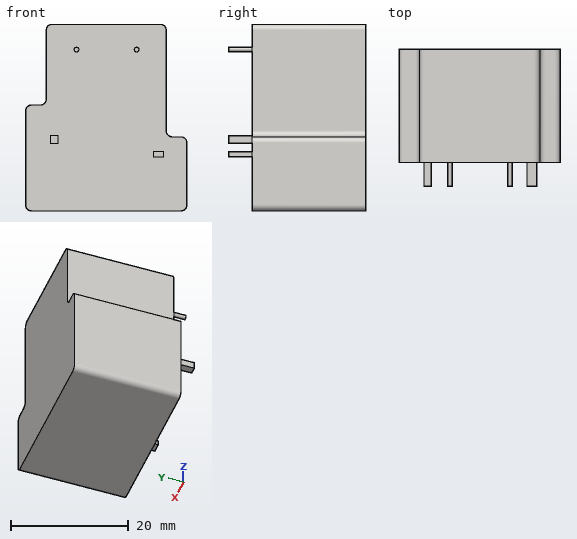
import cadquery as cq

base_width = 27.4
height = 31.7
depth = 19.3
tower_left = 3.5
tower_right = 23.9
left_step_height = 18.0
right_step_height = 12.6
corner_radius = 1.0

terminal_length = 4.0

coil_pin_diameter = 0.8
coil_pin_spacing = 10.2
coil_pin_z = 27.4
coil_pin_center = 13.75

square_pin_side = 1.3
square_pin_x = 4.85
square_pin_z = 12.15

blade_width = 1.7
blade_thickness = 0.9
blade_x = 22.55
blade_z = 9.65


def front_plane():
    """Plane of the front face, with its normal along -Y."""
    return cq.Workplane("XZ")


def make_housing():
    """Stepped block with every lengthwise edge rounded."""
    outline = [
        (0, 0),
        (base_width, 0),
        (base_width, right_step_height),
        (tower_right, right_step_height),
        (tower_right, height),
        (tower_left, height),
        (tower_left, left_step_height),
        (0, left_step_height),
    ]
    block = front_plane().polyline(outline).close().extrude(-depth)
    return block.edges("|Y").fillet(corner_radius)


def make_coil_pin(x):
    """Round pin at the given X."""
    pin = front_plane().center(x, coil_pin_z)
    return pin.circle(coil_pin_diameter / 2).extrude(terminal_length)


def make_flat_terminal(x, z, width, thickness):
    """Rectangular terminal centred at (x, z)."""
    return front_plane().center(x, z).rect(width, thickness).extrude(terminal_length)


result = make_housing()
for side in (-1, 1):
    result = result.union(make_coil_pin(coil_pin_center + side * coil_pin_spacing / 2))
result = result.union(
    make_flat_terminal(square_pin_x, square_pin_z, square_pin_side, square_pin_side)
)
result = result.union(make_flat_terminal(blade_x, blade_z, blade_width, blade_thickness))